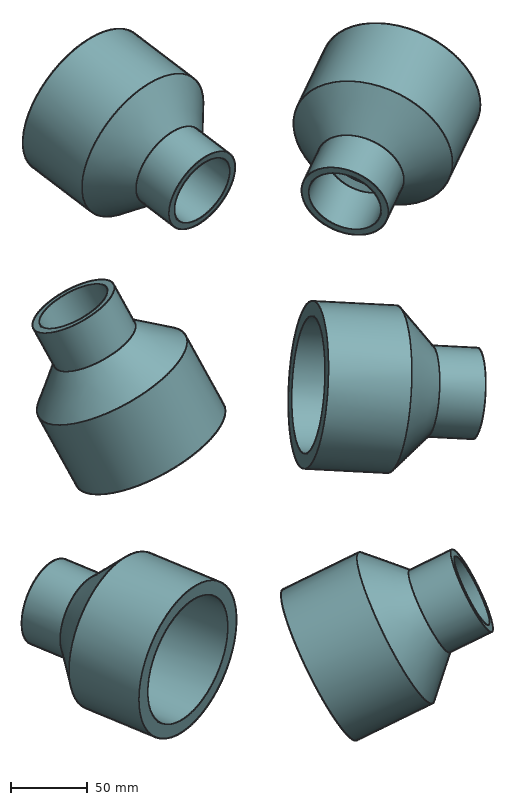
import cadquery as cq

total_length = 112.0
wide_length = 56.0
wide_bore_depth = 52.0
cone_length = 25.0

wide_outer_diameter = 110.0
wide_bore_diameter = 90.0
narrow_outer_diameter = 60.0
narrow_bore_diameter = 50.0


def stepped_cone(wide_diameter, narrow_diameter, cone_start):
    """Solid of revolution about X: wide cylinder, cone, narrow cylinder."""
    wide_radius = wide_diameter / 2
    narrow_radius = narrow_diameter / 2
    cone_end = cone_start + cone_length
    half_section = (
        cq.Workplane("XY")
        .moveTo(0, 0)
        .lineTo(0, wide_radius)
        .lineTo(cone_start, wide_radius)
        .lineTo(cone_end, narrow_radius)
        .lineTo(total_length, narrow_radius)
        .lineTo(total_length, 0)
        .close()
    )
    return half_section.revolve(360, (0, 0, 0), (1, 0, 0))


outer_body = stepped_cone(wide_outer_diameter, narrow_outer_diameter, wide_length)
flow_passage = stepped_cone(wide_bore_diameter, narrow_bore_diameter, wide_bore_depth)

result = outer_body.cut(flow_passage)